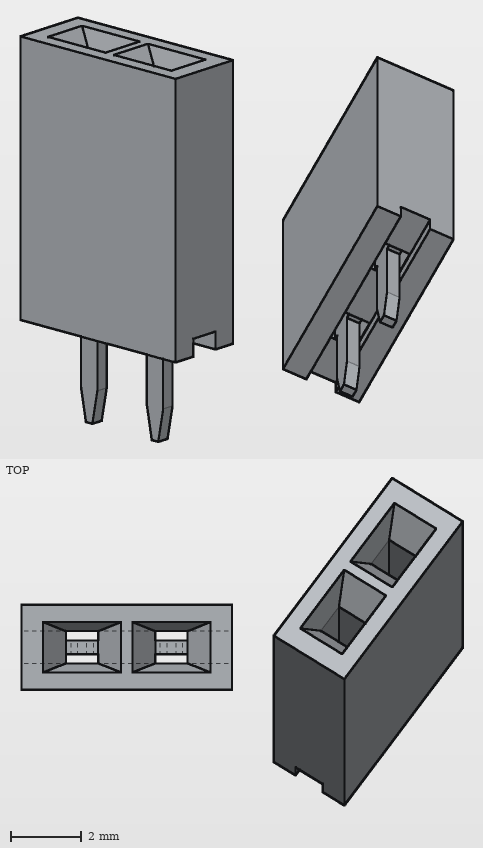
import cadquery as cq

TOTAL_HEIGHT = 11.38
HOUSING_LENGTH = 5.99
HOUSING_WIDTH = 2.42
HOUSING_BOTTOM = 2.94

PITCH = 2.54
CONTACT_XS = [-PITCH / 2, PITCH / 2]

FUNNEL_LENGTH = 2.22
FUNNEL_WIDTH = 1.43
FUNNEL_DEPTH = 1.0
HOLE_SIZE = 0.91
FUNNEL_BOTTOM = TOTAL_HEIGHT - FUNNEL_DEPTH

SLOT_WIDTH = 0.93
SLOT_DEPTH = 0.53
SLOT_ROOF = HOUSING_BOTTOM + SLOT_DEPTH

PIN_WIDTH = 0.64
PIN_THICKNESS = 0.4
TIP_WIDTH = 0.25
TAPER_HEIGHT = 1.02
HEAD_WIDTH = HOLE_SIZE
HEAD_HEIGHT = 0.91


def make_housing():
    housing = cq.Workplane("XY").box(
        HOUSING_LENGTH, HOUSING_WIDTH, TOTAL_HEIGHT - HOUSING_BOTTOM, centered=(True, True, False)
    ).translate((0, 0, HOUSING_BOTTOM))
    slot = cq.Workplane("XY").box(
        HOUSING_LENGTH, SLOT_WIDTH, SLOT_DEPTH, centered=(True, True, False)
    ).translate((0, 0, HOUSING_BOTTOM))
    housing = housing.cut(slot)
    for x in CONTACT_XS:
        housing = housing.cut(make_contact_hole(x)).cut(make_funnel(x))
    return housing


def make_contact_hole(x):
    """Square hole from the slot roof up to the funnel."""
    return (
        cq.Workplane("XY", origin=(x, 0, SLOT_ROOF))
        .rect(HOLE_SIZE, HOLE_SIZE)
        .extrude(FUNNEL_BOTTOM - SLOT_ROOF)
    )


def make_funnel(x):
    """Four-sided funnel narrowing from the top face to the contact hole."""
    return (
        cq.Workplane("XY", origin=(x, 0, FUNNEL_BOTTOM))
        .rect(HOLE_SIZE, HOLE_SIZE)
        .workplane(offset=FUNNEL_DEPTH)
        .rect(FUNNEL_LENGTH, FUNNEL_WIDTH)
        .loft(ruled=True)
    )


def make_pin(x):
    """Flat pin with a tapered tip and a wider head."""
    right_side = [
        (TIP_WIDTH / 2, 0),
        (PIN_WIDTH / 2, TAPER_HEIGHT),
        (PIN_WIDTH / 2, SLOT_ROOF),
        (HEAD_WIDTH / 2, SLOT_ROOF),
        (HEAD_WIDTH / 2, SLOT_ROOF + HEAD_HEIGHT),
    ]
    left_side = [(-half_width, z) for half_width, z in reversed(right_side)]
    return (
        cq.Workplane("XZ", origin=(x, 0, 0))
        .polyline(right_side + left_side)
        .close()
        .extrude(PIN_THICKNESS / 2, both=True)
    )


housing = make_housing()
pins = [make_pin(x) for x in CONTACT_XS]

result = cq.Compound.makeCompound([housing.val(), *[pin.val() for pin in pins]])